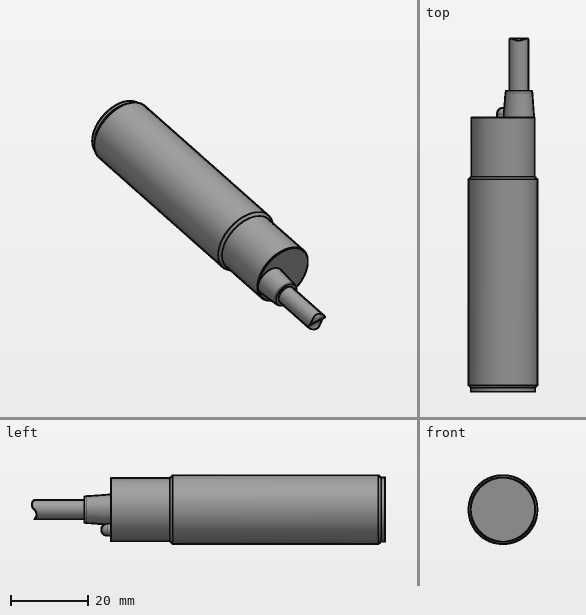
import cadquery as cq

overall_length = 91.7
cap_length = 1.0
shoulder_y = 55.8
rear_face_y = 71.2
relief_end_y = 78.1

body_diameter = 18.0
rear_diameter = 16.5
cap_diameter = 16.8
body_chamfer = (body_diameter - rear_diameter) / 2
rear_edge_chamfer = 0.2

cable_x = 4.1
cable_diameter = 5.0
relief_base_diameter = 8.0
relief_tip_diameter = 7.1
relief_tip_chamfer_length = 0.55
relief_tip_chamfer_depth = 0.2
cable_break_depth = 0.6

lamp_z = -5.2
lamp_diameter = 3.1
lamp_cylinder_length = 0.9


def cylinder(diameter, start_y, end_y, x=0, z=0):
    """Cylinder along Y between two stations."""
    base = cq.Workplane("XZ", origin=(x, start_y, z))
    return base.circle(diameter / 2).extrude(start_y - end_y)


def make_housing():
    """Front cap, chamfered main body and narrower rear section."""
    cap = cylinder(cap_diameter, 0, cap_length)
    body = cylinder(body_diameter, cap_length, shoulder_y).edges().chamfer(body_chamfer)
    rear = cylinder(rear_diameter, shoulder_y, rear_face_y).faces(">Y").chamfer(rear_edge_chamfer)
    return cap.union(body).union(rear)


def make_strain_relief():
    """Cone tapering towards the cable, with a shallow bevel at its tip."""
    base_radius = relief_base_diameter / 2
    tip_radius = relief_tip_diameter / 2
    profile = (
        cq.Workplane("XY", origin=(cable_x, 0, 0))
        .moveTo(0, rear_face_y)
        .lineTo(base_radius, rear_face_y)
        .lineTo(tip_radius, relief_end_y - relief_tip_chamfer_length)
        .lineTo(tip_radius - relief_tip_chamfer_depth, relief_end_y)
        .lineTo(0, relief_end_y)
        .close()
    )
    return profile.revolve(360, (0, 0, 0), (0, 1, 0))


def make_cable():
    """Cable stub whose free end is cut to an S-shaped break line."""
    radius = cable_diameter / 2
    break_y = overall_length - cable_break_depth
    envelope = (
        cq.Workplane("YZ", origin=(cable_x - radius, 0, 0))
        .moveTo(relief_end_y, -radius)
        .lineTo(break_y, -radius)
        .threePointArc((break_y - cable_break_depth, -radius / 2), (break_y, 0))
        .threePointArc((overall_length, radius / 2), (break_y, radius))
        .lineTo(relief_end_y, radius)
        .close()
        .extrude(cable_diameter)
    )
    return cylinder(cable_diameter, relief_end_y, overall_length, x=cable_x).intersect(envelope)


def make_lamp():
    """Short cylinder with a hemispherical dome."""
    dome_y = rear_face_y + lamp_cylinder_length
    dome = cq.Workplane("XY", origin=(0, dome_y, lamp_z)).sphere(lamp_diameter / 2)
    return cylinder(lamp_diameter, rear_face_y, dome_y, z=lamp_z).union(
        dome.intersect(cylinder(body_diameter, rear_face_y, overall_length))
    )


result = make_housing().union(make_strain_relief()).union(make_cable()).union(make_lamp())